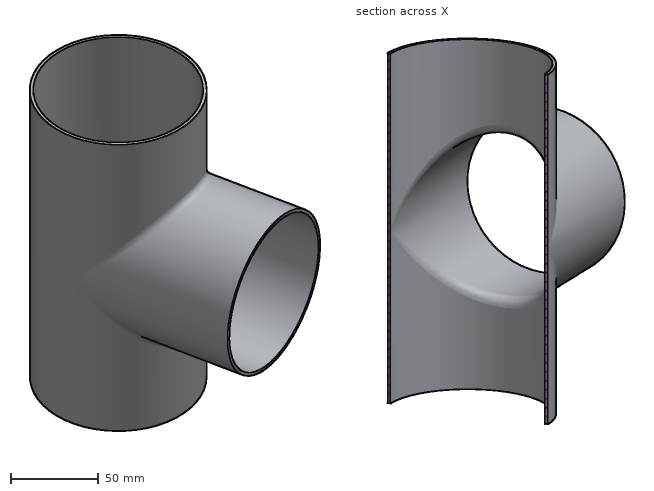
import cadquery as cq

run_length = 209.5
outer_diameter = 101.7
wall = 2.0
branch_reach = 104.8
outer_fillet = 3.8

outer_radius = outer_diameter / 2
bore_radius = outer_radius - wall
bore_fillet = outer_fillet + wall


def filleted_tee(radius, fillet):
    """Solid tee of two equal cylinders, with the corner where they meet filleted."""
    run = (
        cq.Workplane("XY")
        .circle(radius)
        .extrude(run_length / 2, both=True)
        .rotate((0, 0, 0), (0, 0, 1), 180)
    )
    branch = (
        cq.Workplane("YZ")
        .circle(radius)
        .extrude(branch_reach)
        .rotate((0, 0, 0), (1, 0, 0), 90)
    )
    tee = run.union(branch)
    corner_edges = [edge for edge in tee.edges().vals() if edge.geomType() == "ELLIPSE"]
    return tee.newObject(corner_edges).fillet(fillet)


body = filleted_tee(outer_radius, outer_fillet)
bore = filleted_tee(bore_radius, bore_fillet)
result = body.cut(bore)